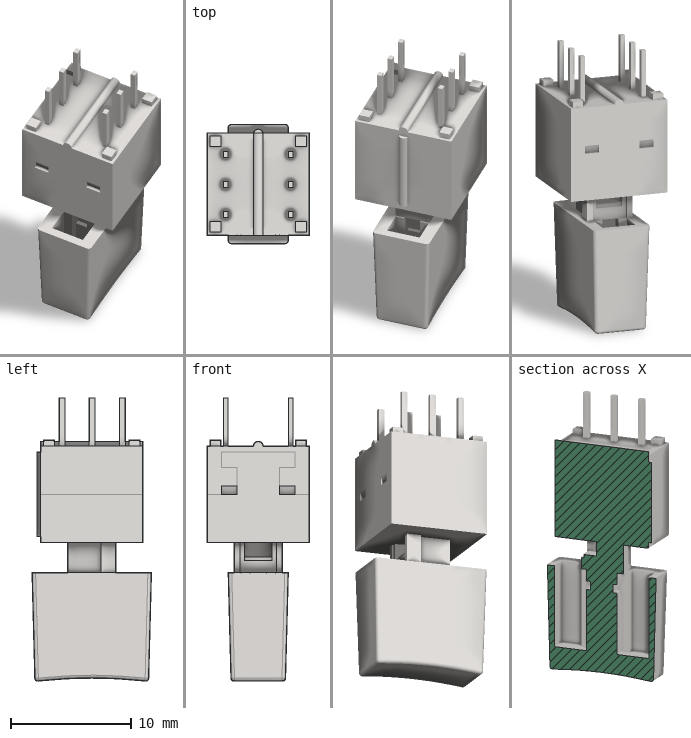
import cadquery as cq
import math


body_side = 8.5
body_height = 8.0
seam_z = -body_height / 2

tongue_top_z = -0.5
tongue_bar_width = 6.1
tongue_bar_height = 1.25
tongue_stem_width = 3.55
tongue_thickness = 0.6
window_height = 0.7
window_depth = 0.3

ridge_radius = 0.4
back_ridge_projection = 0.3
back_ridge_inset = 0.5

foot_side = 0.9
foot_height = 0.5
foot_offset = 3.55
pin_width = 0.4
pin_depth = 0.5
pin_height = 4.0
pin_row_offset = 2.7
pin_pitch = 2.5
pin_center_y = -0.04

plunger_side = 4.0
plunger_length = 2.5
plunger_rear_width = 3.0
plunger_step_y = -0.75
channel_width = 3.0
channel_depth = 0.15
groove_width = 2.3
groove_recess_depth = 0.2
groove_recess_length = 1.5
groove_length = 1.2

cap_width = 5.0
cap_depth = 9.92
cap_height = 9.03
cap_draft = 1.5
cap_edge_radius = 0.3
cap_rim_radius = 0.25
cap_dish_sag = 0.28
cap_top_z = -body_height - plunger_length
socket_width = 2.9
socket_outer_y = 4.25
socket_inner_y = 2.15
socket_depth = 7.0
slot_width = 1.4
slot_back_y = 1.4
latch_back_y = 1.05
latch_top_depth = 1.0
latch_bottom_depth = 1.7


def block(x_size, y_range, z_range):
    """Box centred on X, spanning the given Y and Z ranges."""
    y_min, y_max = y_range
    z_min, z_max = z_range
    return cq.Workplane("XY").box(x_size, y_max - y_min, z_max - z_min).translate(
        (0, (y_min + y_max) / 2, (z_min + z_max) / 2)
    )


def make_tongue():
    front_y = -body_side / 2
    back_y = front_y + tongue_thickness
    bar_bottom_z = tongue_top_z - tongue_bar_height
    bar = block(tongue_bar_width, (front_y, back_y), (bar_bottom_z, tongue_top_z))
    stem = block(tongue_stem_width, (front_y, back_y), (seam_z, bar_bottom_z))
    return bar.union(stem)


def make_window_cutter():
    """Wedge below the tongue bar that deepens toward the seam."""
    front_y = -body_side / 2
    return (
        cq.Workplane("YZ")
        .moveTo(front_y, seam_z)
        .lineTo(front_y + window_depth, seam_z)
        .lineTo(front_y, seam_z + window_height)
        .close()
        .extrude(tongue_bar_width / 2, both=True)
    )


def make_top_ridge():
    return (
        cq.Workplane("XZ", origin=(0, body_side / 2, 0))
        .moveTo(-ridge_radius, 0)
        .threePointArc((0, ridge_radius), (ridge_radius, 0))
        .close()
        .extrude(body_side)
    )


def make_housing():
    """Upper and lower housing, joined with their seam kept as face boundaries."""
    half_side = body_side / 2
    tongue = make_tongue()
    lower = block(body_side, (-half_side, half_side), (-body_height, seam_z)).union(tongue)
    upper = block(body_side, (-half_side, half_side), (seam_z, 0)).union(make_top_ridge())
    upper = upper.cut(make_window_cutter()).cut(tongue)
    return lower.union(upper, clean=False)


def make_back_ridge():
    """Vertical ridge on the back, stopping short of the housing's top and bottom."""
    back_y = body_side / 2
    axis_y = back_y + back_ridge_projection - ridge_radius
    ridge = (
        cq.Workplane("XY", origin=(0, axis_y, -back_ridge_inset))
        .circle(ridge_radius)
        .extrude(2 * back_ridge_inset - body_height)
    )
    return ridge.intersect(block(body_side, (back_y, back_y + ridge_radius), (-body_height, 0)))


def make_feet():
    return (
        cq.Workplane("XY")
        .rect(2 * foot_offset, 2 * foot_offset, forConstruction=True)
        .vertices()
        .rect(foot_side, foot_side)
        .extrude(foot_height)
    )


def make_pins():
    return (
        cq.Workplane("XY", origin=(0, pin_center_y, 0))
        .rarray(2 * pin_row_offset, pin_pitch, 2, 3)
        .rect(pin_width, pin_depth)
        .extrude(pin_height)
    )


def make_plunger():
    """Stem whose wider front half has a shallow channel with a round-bottomed groove in it."""
    half_side = plunger_side / 2
    z_range = (cap_top_z, -body_height)
    channel_y = -half_side + channel_depth
    recess_y = channel_y + groove_recess_depth
    front = block(plunger_side, (-half_side, plunger_step_y), z_range)
    rear = block(plunger_rear_width, (plunger_step_y, half_side), z_range)
    channel = block(channel_width, (-half_side, channel_y), z_range)
    recess_z = (-body_height - groove_recess_length, -body_height)
    recess = block(groove_width, (channel_y, recess_y), recess_z)
    groove = (
        cq.Workplane("XY", origin=(0, recess_y, -body_height))
        .circle(groove_width / 2)
        .extrude(-groove_length)
    )
    return front.union(rear).cut(channel).cut(recess).cut(groove)


def make_socket_cutter():
    """Front socket of the cap, with an inward slot that ends in a small latch recess."""
    socket_z = (cap_top_z - socket_depth, cap_top_z)
    latch_z = (cap_top_z - latch_bottom_depth, cap_top_z - latch_top_depth)
    socket = block(socket_width, (-socket_outer_y, -socket_inner_y), socket_z)
    slot = block(slot_width, (-socket_inner_y, -slot_back_y), socket_z)
    latch = block(slot_width, (-slot_back_y, -latch_back_y), latch_z)
    return socket.union(slot).union(latch)


def make_cap():
    """Drafted cap with a dished end face and a socket on each side of the plunger."""
    cap = (
        cq.Workplane("XY", origin=(0, 0, cap_top_z))
        .rect(cap_width, cap_depth)
        .extrude(-cap_height, taper=cap_draft)
        .edges("not #Z")
        .fillet(cap_edge_radius)
    )
    end_z = cap_top_z - cap_height
    half_chord = cap_depth / 2 - cap_height * math.tan(math.radians(cap_draft))
    dish_radius = (half_chord**2 + cap_dish_sag**2) / (2 * cap_dish_sag)
    dish = (
        cq.Workplane("YZ", origin=(0, 0, end_z + cap_dish_sag - dish_radius))
        .circle(dish_radius)
        .extrude(cap_width, both=True)
    )
    cap = cap.cut(dish).faces("<Z").edges().fillet(cap_rim_radius)
    socket = make_socket_cutter()
    return cap.cut(socket).cut(socket.mirror("XZ"))


result = make_housing()
for feature in [make_back_ridge(), make_feet(), make_pins(), make_plunger(), make_cap()]:
    result = result.union(feature, clean=False)